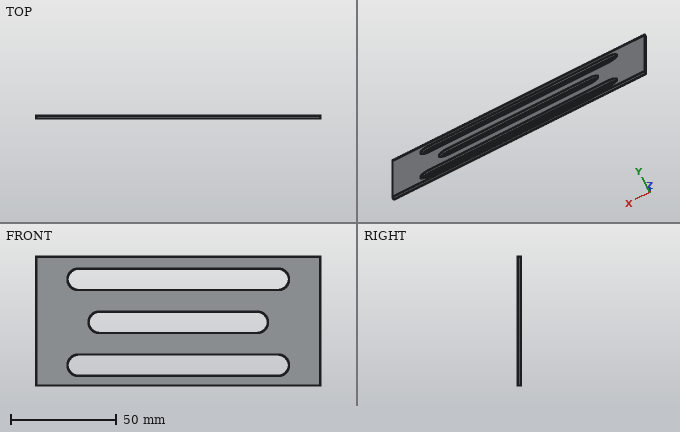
import cadquery as cq

plate_length = 135.0
plate_thickness = 1.5
plate_height = 61.3

slot_width = 10.0
outer_slot_length = 105.0
middle_slot_length = 85.0
slot_pitch = 20.4
middle_slot_height = -0.5


def slot_cutter(length, height):
    """Horizontal slot centred at the given height, passing through the plate."""
    return (
        cq.Workplane("XZ")
        .center(0, height)
        .slot2D(length, slot_width)
        .extrude(plate_thickness, both=True)
    )


result = cq.Workplane("XY").box(plate_length, plate_thickness, plate_height)

for side in (-1, 1):
    result = result.cut(slot_cutter(outer_slot_length, middle_slot_height + side * slot_pitch))

result = result.cut(slot_cutter(middle_slot_length, middle_slot_height))